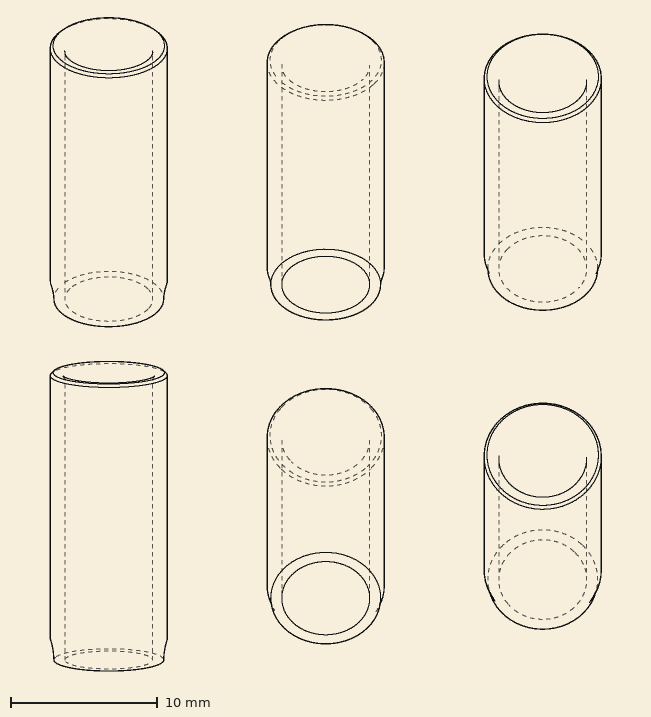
import cadquery as cq

length = 20.0
outer_radius = 4.0
bore_radius = 3.0

top_chamfer = 0.2
mouth_round = 0.5

lead_height = 1.5
lead_radius = 5.0
lead_inset = 0.25
lead_end_radius = outer_radius - lead_inset


def sleeve_profile():
    """Half section of the sleeve wall in the XZ plane."""
    return (
        cq.Workplane("XZ")
        .moveTo(bore_radius, 0)
        .lineTo(lead_end_radius, 0)
        .radiusArc((outer_radius, lead_height), lead_radius)
        .lineTo(outer_radius, length - top_chamfer)
        .lineTo(outer_radius - top_chamfer, length)
        .lineTo(bore_radius + mouth_round, length)
        .radiusArc((bore_radius, length - mouth_round), -mouth_round)
        .close()
    )


result = sleeve_profile().revolve(360, (0, 0, 0), (0, 1, 0))